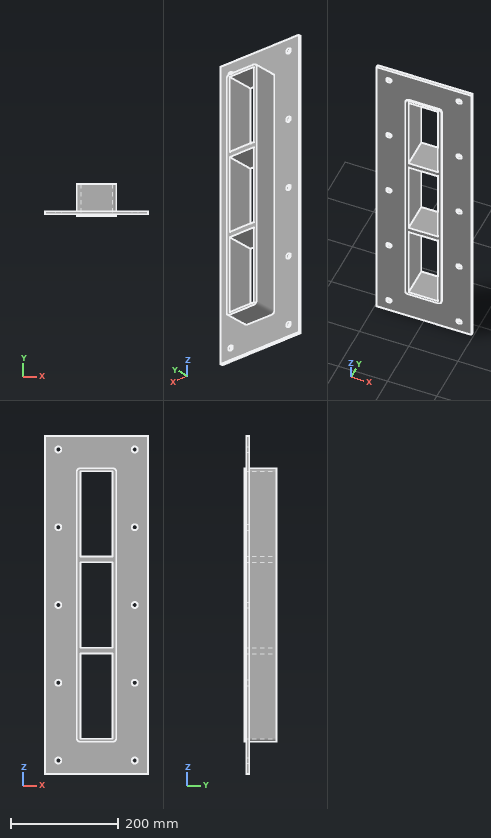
import cadquery as cq

plate_width = 192.0
plate_height = 630.5
plate_thickness = 6.0

sleeve_width = 74.0
sleeve_height = 510.0
sleeve_depth = 60.0
sleeve_corner_radius = 7.0
front_lip = 3.0

opening_count = 3
opening_width = 59.0
end_wall = 5.5
divider_thickness = 11.5
clear_height = sleeve_height - 2 * end_wall - (opening_count - 1) * divider_thickness
opening_height = clear_height / opening_count
opening_pitch = opening_height + divider_thickness

hole_diameter = 11.0
hole_columns = 2
hole_rows = 5
hole_column_spacing = 142.5
hole_row_pitch = 145.0


def upright_block(width, depth, height, front_y):
    """Block centred on X and Z that extends toward +Y from front_y."""
    return cq.Workplane("XY").box(width, depth, height).translate((0, front_y + depth / 2, 0))


def make_plate():
    """Flat plate with its grid of through holes."""
    plate = upright_block(plate_width, plate_thickness, plate_height, 0)
    return (
        plate.faces("<Y")
        .workplane(centerOption="CenterOfBoundBox")
        .rarray(hole_column_spacing, hole_row_pitch, hole_columns, hole_rows)
        .hole(hole_diameter)
    )


def make_sleeve():
    """Solid sleeve body with rounded long edges."""
    sleeve = upright_block(sleeve_width, sleeve_depth, sleeve_height, -front_lip)
    return sleeve.edges("|Y").fillet(sleeve_corner_radius)


def make_openings():
    """Column of rectangular cutters running the full depth of the sleeve."""
    cutter = upright_block(opening_width, sleeve_depth, opening_height, -front_lip)
    openings = cq.Workplane("XY")
    for index in range(opening_count):
        offset = (index - (opening_count - 1) / 2) * opening_pitch
        openings = openings.add(cutter.translate((0, 0, offset)))
    return openings.combine()


result = make_plate().union(make_sleeve()).cut(make_openings())